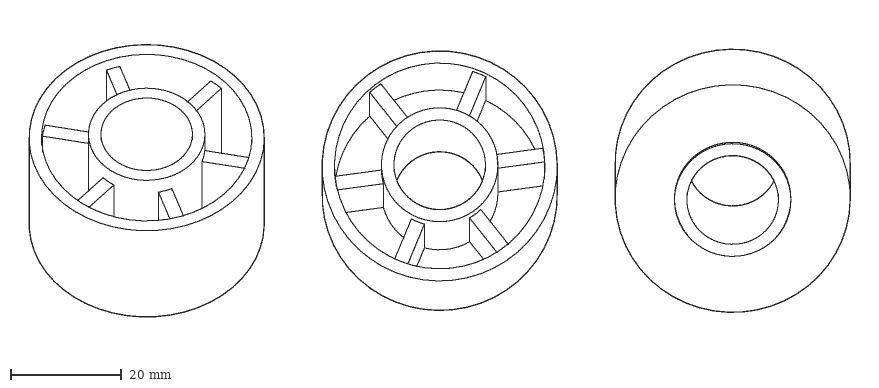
import cadquery as cq

rim_diameter = 42.5
rim_height = 25.5
hub_diameter = 21.05
hub_height = 27.5
wall = 2.25
spoke_count = 6
spoke_width = 2.55
spoke_recess = 2.75

rim_inner_diameter = rim_diameter - 2 * wall
bore_diameter = hub_diameter - 2 * wall
rim_bottom = -rim_height / 2
hub_bottom = -hub_height / 2

joint_inner_diameter = hub_diameter - wall
joint_outer_diameter = rim_diameter - wall
spoke_length = (joint_outer_diameter - joint_inner_diameter) / 2
spoke_centre = (joint_outer_diameter + joint_inner_diameter) / 4
spoke_height = rim_height - spoke_recess


def ring(outer_diameter, inner_diameter, bottom, height):
    """Ring around the Z axis, rising from the given bottom level."""
    base = cq.Workplane("XY").workplane(offset=bottom)
    return base.circle(outer_diameter / 2).circle(inner_diameter / 2).extrude(height)


def spoke(angle):
    """Radial rib joining hub and rim, rising from the bottom of the rim."""
    base = cq.Workplane("XY").workplane(offset=rim_bottom)
    rib = base.center(spoke_centre, 0).rect(spoke_length, spoke_width).extrude(spoke_height)
    return rib.rotate((0, 0, 0), (0, 0, 1), angle)


rim = ring(rim_diameter, rim_inner_diameter, rim_bottom, rim_height)
hub = ring(hub_diameter, bore_diameter, hub_bottom, hub_height)

floor = ring(joint_outer_diameter, joint_inner_diameter, rim_bottom, wall)

result = rim.union(hub).union(floor)
for index in range(spoke_count):
    result = result.union(spoke(index * 360 / spoke_count))